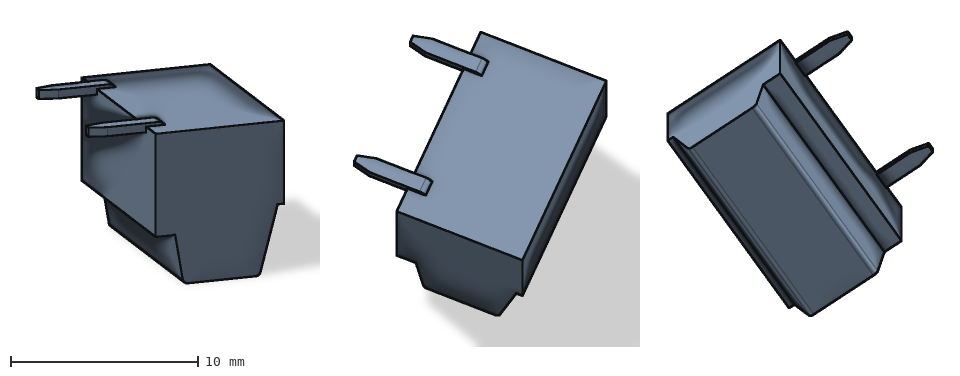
import cadquery as cq
import math

width = 11.43
body_depth = 7.3
body_height = 8.5
back_wall_height = 4.63
front_wall_height = 5.74
back_ledge = 0.35
front_ledge = 1.11
back_taper = 15.0
front_taper = 9.7
foot_radius = 0.3

pin_pitch = 7.62
pin_width = 0.89
pin_thickness = 0.5
pin_rise = 0.2
pin_overhang = 3.2
pin_bend_radius = 0.42
pin_bend_start = 0.71
tip_length = 1.01
tip_width = 0.4


def make_housing():
    """Extrude the side profile; its front top edge lies on Y = 0, Z = 0."""
    back_inset = back_ledge + (body_height - back_wall_height) * math.tan(math.radians(back_taper))
    front_inset = front_ledge + (body_height - front_wall_height) * math.tan(math.radians(front_taper))
    profile = [
        (0, 0),
        (body_depth, 0),
        (body_depth, -back_wall_height),
        (body_depth - back_ledge, -back_wall_height),
        (body_depth - back_inset, -body_height),
        (front_inset, -body_height),
        (front_ledge, -front_wall_height),
        (0, -front_wall_height),
    ]
    block = cq.Workplane("YZ").polyline(profile).close().extrude(width / 2, both=True)
    return block.faces("<Z").edges("|X").fillet(foot_radius)


def make_pin(x_center):
    """Bar with a rounded upper rear edge and a tip tapered in width."""
    rear = pin_bend_start + pin_bend_radius
    taper_start = -pin_overhang + tip_length
    outline = [
        (-pin_width / 2, rear),
        (-pin_width / 2, taper_start),
        (-tip_width / 2, -pin_overhang),
        (tip_width / 2, -pin_overhang),
        (pin_width / 2, taper_start),
        (pin_width / 2, rear),
    ]
    bar = (
        cq.Workplane("XY", origin=(0, 0, pin_rise - pin_thickness))
        .polyline(outline)
        .close()
        .extrude(pin_thickness)
    )
    bar = bar.edges("|X and >Y and >Z").fillet(pin_bend_radius)
    return bar.translate((x_center, 0, 0))


result = make_housing()
for side in (-1, 1):
    result = result.union(make_pin(side * pin_pitch / 2))